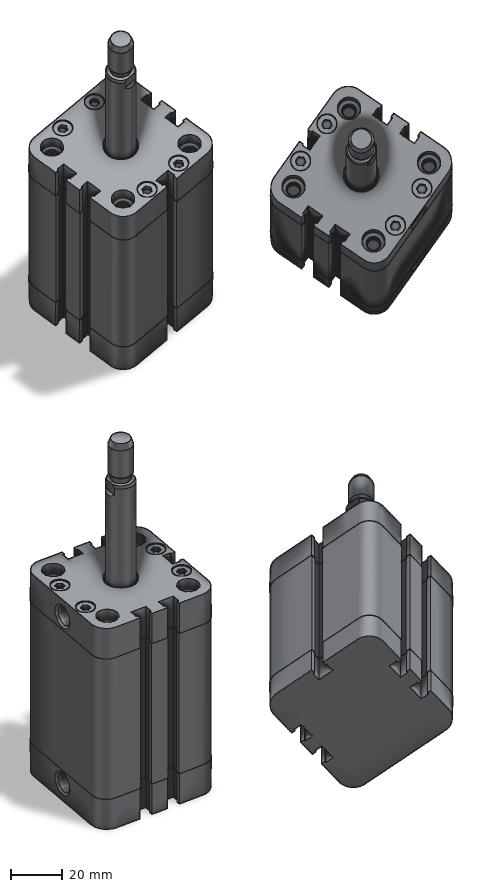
import cadquery as cq
import math

total_height = 161.0
body_width = 54.7
body_height = 95.0
cap_height = 14.3
barrel_corner_radius = 7.0
cap_joint_radius = 6.6
cap_end_radius = 7.2

barrel_bottom = cap_height
barrel_top = body_height - cap_height

slot_offset = 6.5
slot_mouth = 5.3
slot_inner = 6.6
slot_lip = 2.0
slot_depth = 5.2
cap_slot_clearance = 0.2

mount_spacing = 38.0
mount_bore = 9.0
mount_bore_depth = 5.0
thread_entry = 5.8
thread_core = 5.0
thread_chamfer = (thread_entry - thread_core) / 2
thread_depth = 4.8

screw_spacing_x = 45.0
screw_spacing_y = 18.0
screw_recess = 7.5
screw_mouth = 7.9
screw_chamfer = (screw_mouth - screw_recess) / 2
screw_recess_depth = 0.5
socket_across_corners = 4.0
socket_depth = 2.1

seal_bore = 13.7
seal_mouth = 14.0
seal_depth = 0.5
rod_gap_bore = 12.5
rod_gap_depth = 1.3
seal_chamfer = (seal_mouth - seal_bore) / 2

port_diameter = 8.5
port_mouth = 10.3
port_chamfer = (port_mouth - port_diameter) / 2
port_end_inset = 8.0
cylinder_bore = 40.0

rod_diameter = 12.0
rod_shoulder = 142.2
rod_chamfer_width = 0.5
rod_chamfer_height = 1.3
thread_diameter = 10.0
thread_tip = 8.0
thread_tip_height = 2.7
neck_diameter = 8.2
thread_end = 145.4
thread_runout = 1.0
flat_width = 10.3
flat_bottom = 137.8
flat_runout_angle = 30.0


def slot_tool(clearance):
    """T-slot prism opening at the origin and running into -Y, full body height."""
    mouth = slot_mouth / 2 + clearance
    inner = slot_inner / 2 + clearance
    lip = slot_lip - clearance
    depth = slot_depth + clearance
    return (
        cq.Workplane("XY")
        .moveTo(-mouth, 0)
        .lineTo(-mouth, -lip)
        .lineTo(-inner, -lip)
        .lineTo(-inner, -depth)
        .lineTo(inner, -depth)
        .lineTo(inner, -lip)
        .lineTo(mouth, -lip)
        .lineTo(mouth, 0)
        .close()
        .extrude(body_height)
    )


def rounded_square(radius, height):
    """Square outline of the body with rounded corners, at the given height."""
    outline = cq.Sketch().rect(body_width, body_width).vertices().fillet(radius)
    return outline.moved(cq.Location(cq.Vector(0, 0, height)))


def slotted_block(bottom, bottom_radius, top, top_radius, clearance):
    """Rounded square block with two T-slots on +Y and -Y and one on +X."""
    lower = rounded_square(bottom_radius, bottom)
    upper = rounded_square(top_radius, top)
    block = cq.Workplane("XY").placeSketch(lower, upper).loft()
    tool = slot_tool(clearance)
    for turn in (0, 180):
        for shift in (-slot_offset, slot_offset):
            slot = tool.translate((shift, body_width / 2, 0))
            block = block.cut(slot.rotate((0, 0, 0), (0, 0, 1), turn))
    middle_slot = tool.translate((0, body_width / 2, 0))
    return block.cut(middle_slot.rotate((0, 0, 0), (0, 0, 1), -90))


def air_port(height):
    """Chamfered port from the -X face, ending on the cylinder bore surface."""
    bore = (
        cq.Workplane("YZ", origin=(-body_width / 2, 0, height))
        .circle(port_diameter / 2)
        .extrude(body_width / 2)
    )
    mouth = cq.Workplane(
        cq.Solid.makeCone(
            port_mouth / 2,
            port_diameter / 2,
            port_chamfer,
            cq.Vector(-body_width / 2, 0, height),
            cq.Vector(1, 0, 0),
        )
    )
    core = cq.Workplane("XY").circle(cylinder_bore / 2).extrude(body_height)
    return bore.union(mouth).cut(core)


def stepped_hole(profile):
    """Tool for a hole sunk from the body top, from (radius, depth) pairs."""
    points = [(radius, -depth) for radius, depth in profile]
    bottom = points[-1][1]
    return (
        cq.Workplane("XZ")
        .polyline([(0, 0), *points, (0, bottom)])
        .close()
        .revolve(360, (0, 0, 0), (0, 1, 0))
        .translate((0, 0, body_height))
    )


def cut_pattern(body, tool, spacing_x, spacing_y):
    """Cut the tool at the four corners of a centred rectangle."""
    for x in (-spacing_x / 2, spacing_x / 2):
        for y in (-spacing_y / 2, spacing_y / 2):
            body = body.cut(tool.translate((x, y, 0)))
    return body


def make_rod():
    """Piston rod with a wrench flat on each side and a threaded end."""
    rod_radius = rod_diameter / 2
    profile = [
        (0, barrel_top),
        (rod_radius, barrel_top),
        (rod_radius, rod_shoulder - rod_chamfer_height),
        (rod_radius - rod_chamfer_width, rod_shoulder),
        (neck_diameter / 2, rod_shoulder),
        (neck_diameter / 2, thread_end - thread_runout),
        (thread_diameter / 2, thread_end),
        (thread_diameter / 2, total_height - thread_tip_height),
        (thread_tip / 2, total_height),
        (0, total_height),
    ]
    rod = cq.Workplane("XZ").polyline(profile).close().revolve(360, (0, 0, 0), (0, 1, 0))

    flat_depth = rod_radius - flat_width / 2
    runout_drop = flat_depth / math.tan(math.radians(flat_runout_angle))
    flat = (
        cq.Workplane("XZ")
        .moveTo(flat_width / 2, rod_shoulder)
        .lineTo(flat_width / 2, flat_bottom)
        .lineTo(rod_radius, flat_bottom - runout_drop)
        .lineTo(rod_radius, rod_shoulder)
        .close()
        .extrude(rod_radius, both=True)
    )
    return rod.cut(flat).cut(flat.mirror("YZ"))


def make_front_cap(rod):
    """Cap on the rod side, with mounting holes, screws, seal recess and port."""
    cap = slotted_block(barrel_top, cap_joint_radius, body_height, cap_end_radius, cap_slot_clearance)

    mount_hole = stepped_hole([
        (mount_bore / 2, 0),
        (mount_bore / 2, mount_bore_depth),
        (thread_entry / 2, mount_bore_depth),
        (thread_core / 2, mount_bore_depth + thread_chamfer),
        (thread_core / 2, mount_bore_depth + thread_depth),
    ])
    cap = cut_pattern(cap, mount_hole, mount_spacing, mount_spacing)

    recess = stepped_hole([
        (screw_mouth / 2, 0),
        (screw_recess / 2, screw_chamfer),
        (screw_recess / 2, screw_recess_depth),
    ])
    socket = (
        cq.Workplane("XY", origin=(0, 0, body_height))
        .polygon(6, socket_across_corners)
        .extrude(-screw_recess_depth - socket_depth)
        .rotate((0, 0, 0), (0, 0, 1), 90)
    )
    screw_tool = recess.union(socket)
    cap = cut_pattern(cap, screw_tool, screw_spacing_x, screw_spacing_y)

    seal_recess = stepped_hole([
        (seal_mouth / 2, 0),
        (seal_bore / 2, seal_chamfer),
        (seal_bore / 2, seal_depth),
        (rod_gap_bore / 2, seal_depth),
        (rod_gap_bore / 2, rod_gap_depth),
    ])
    cap = cap.cut(seal_recess).cut(rod)
    return cap.cut(air_port(body_height - port_end_inset))


def make_barrel():
    """Plain slotted barrel between the caps."""
    return slotted_block(barrel_bottom, barrel_corner_radius, barrel_top, barrel_corner_radius, 0)


def make_rear_cap():
    """Closed cap at the bottom, with its own port."""
    cap = slotted_block(0, cap_end_radius, barrel_bottom, cap_joint_radius, cap_slot_clearance)
    return cap.cut(air_port(port_end_inset))


rod = make_rod()
front_cap = make_front_cap(rod)
barrel = make_barrel()
rear_cap = make_rear_cap()

result = cq.Compound.makeCompound([rod.val(), front_cap.val(), barrel.val(), rear_cap.val()])